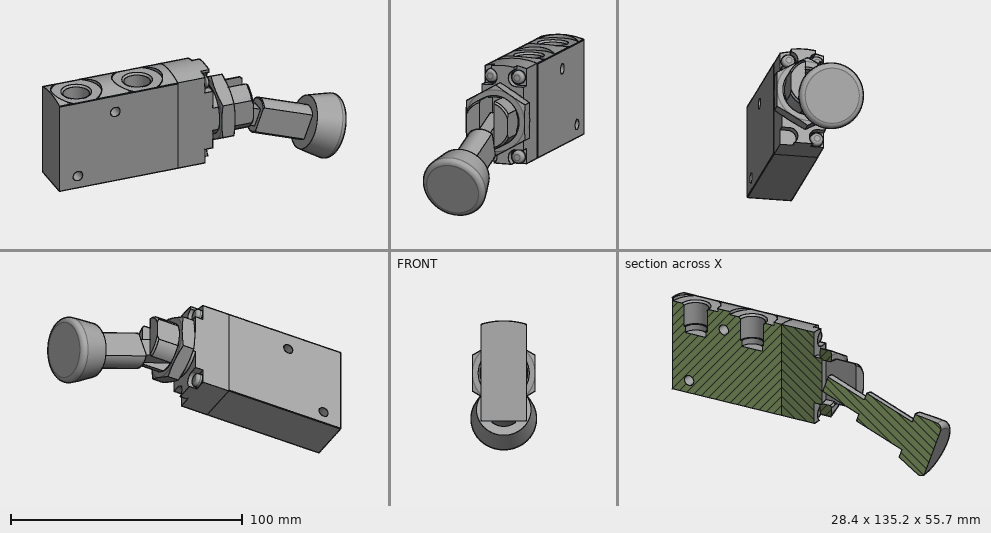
import cadquery as cq
import math

block_width = 19.7
block_length = 55.2
side_height = 41.8
crown_height = 43.3
block_edge_chamfer = 0.3

port_positions = (11.8, 40.2)
spotface_diameter = 22.0
port_mouth_diameter = 13.3
port_bore_diameter = 11.5
port_bore_depth = 10.8
port_floor_diameter = 10.0
port_floor_depth = 13.5

mounting_hole_diameter = 4.5
mounting_holes = ((8.5, 6.0), (26.0, 33.8))

cap_width = 19.2
cap_end = 71.5
neck_axis_height = 20.7
neck_diameter = 22.0
neck_end = 90.5
neck_chamfer = 0.8
slot_width = 6.6
slot_floor = 75.3

nut_start = 74.1
nut_end = 80.3
nut_across_flats = 27
nut_bore_diameter = 20.4
nut_edge_chamfer = 0.5

pocket_depth = 3.7
pocket_floor = cap_end - pocket_depth
pocket_radius = 3.7
screw_inset = 3.4
low_screw_z = 3.0
high_screw_z = 38.0
pocket_relief_width = 4.3
screw_head_diameter = 6.0
screw_head_height = 2.6
screw_head_rounding = 1.6

lever_tilt = 20
pivot_y = 74.8
tongue_start = 2.3
tongue_thickness = 6.0
tongue_height = 8.1
grip_start = 21.6
grip_chamfer = 0.4
grip_diameter = 15.4
grip_flat_width = 10.1
knob_start = 46
knob_rim = 57.2
knob_end = 59.9
knob_base_radius = 11.8
knob_middle_radius = 13.1
knob_rim_radius = 14.2
knob_face_radius = 11.9


def crowned_prism(width, start, end):
    """A bar along Y with flat sides and the shared arched top."""
    crown_rise = crown_height - side_height
    crown_radius = (block_width**2 / 4 + crown_rise**2) / (2 * crown_rise)
    crown_center = crown_height - crown_radius
    edge_height = crown_center + math.sqrt(crown_radius**2 - width**2 / 4)
    return (
        cq.Workplane("XZ", origin=(0, start, 0))
        .moveTo(-width / 2, 0)
        .lineTo(width / 2, 0)
        .lineTo(width / 2, edge_height)
        .threePointArc((0, crown_height), (-width / 2, edge_height))
        .close()
        .extrude(start - end)
    )


def cylinder_y(diameter, start, end, x=0, z=neck_axis_height):
    """A cylinder along Y."""
    return cq.Workplane("XZ", origin=(x, start, z)).circle(diameter / 2).extrude(start - end)


def make_port(y):
    """Cutter for one port: spotface, countersunk bore and smaller floor."""
    mouth = cq.Workplane("XY", origin=(0, y, side_height))
    spotface = mouth.circle(spotface_diameter / 2).extrude(crown_height - side_height)
    bore = mouth.circle(port_bore_diameter / 2).extrude(-port_bore_depth)
    floor = mouth.circle(port_floor_diameter / 2).extrude(-port_floor_depth)
    countersink = mouth.circle(port_mouth_diameter / 2).extrude(
        -(port_mouth_diameter - port_bore_diameter) / 2, taper=45
    )
    return spotface.union(bore).union(floor).union(countersink)


def make_block():
    """The valve block with two ports on top and two holes across it."""
    block = crowned_prism(block_width, 0, block_length)
    block = block.edges("|Y").chamfer(block_edge_chamfer)
    for y in port_positions:
        block = block.cut(make_port(y))
    holes = (
        cq.Workplane("YZ")
        .pushPoints(mounting_holes)
        .circle(mounting_hole_diameter / 2)
        .extrude(block_width, both=True)
    )
    return block.cut(holes)


def make_pocket(side, z, outward):
    """Cutter for one screw pocket, open to a side and to the top or underside."""
    x = side * (cap_width / 2 - screw_inset)
    pocket = cylinder_y(2 * pocket_radius, pocket_floor, cap_end, x, z)
    passage = (
        cq.Workplane("XY", origin=(x, pocket_floor, z))
        .box(2 * screw_inset, pocket_depth, 2 * pocket_radius, centered=(True, False, True))
        .translate((side * screw_inset, 0, 0))
    )
    relief_center = (side * cap_width / 2, pocket_floor, z + outward * pocket_radius)
    relief = cq.Workplane("XY", origin=relief_center).box(
        2 * pocket_relief_width, pocket_depth, 2 * pocket_radius, centered=(True, False, True)
    )
    return pocket.union(passage).union(relief)


def make_cap():
    """The end cap with four corner pockets and a flatted, slotted neck."""
    cap = crowned_prism(cap_width, block_length, cap_end)
    for side in (-1, 1):
        cap = cap.cut(make_pocket(side, low_screw_z, -1))
        cap = cap.cut(make_pocket(side, high_screw_z, 1))
    neck = cylinder_y(neck_diameter, cap_end, neck_end).faces(">Y").chamfer(neck_chamfer)
    flats = cq.Workplane("XY").box(cap_width, 2 * neck_end, 2 * crown_height)
    slot_length = neck_end - slot_floor
    slot = cq.Workplane("XY").box(slot_width, slot_length, neck_diameter).translate(
        (0, slot_floor + slot_length / 2, neck_axis_height)
    )
    return cap.union(neck.intersect(flats).cut(slot))


def make_nut(cap):
    """A hexagon nut with chamfered corners and a countersunk bore fitted to the neck."""
    corner_diameter = nut_across_flats / math.cos(math.pi / 6)
    length = nut_end - nut_start
    hexagon = (
        cq.Workplane("XZ", origin=(0, nut_start, neck_axis_height))
        .transformed(rotate=(0, 0, 30))
        .polygon(6, corner_diameter)
        .extrude(-length)
    )
    envelope = cylinder_y(corner_diameter, nut_start, nut_end).faces("<Y or >Y").chamfer(
        nut_edge_chamfer, (corner_diameter - nut_across_flats) / 2
    )
    bore = cylinder_y(nut_bore_diameter, nut_start, nut_end)
    countersink_depth = (neck_diameter - nut_bore_diameter) / 2
    nut = hexagon.intersect(envelope).cut(bore)
    nut = nut.faces("<Y or >Y").edges("%CIRCLE").edges(
        cq.selectors.RadiusNthSelector(0)
    ).chamfer(countersink_depth)
    return nut.cut(cap)


def make_lever():
    """The tilted lever: flat tongue, flatted round grip and barrel-sided knob."""
    sine = math.sin(math.radians(lever_tilt))
    cosine = math.cos(math.radians(lever_tilt))
    pivot = (0, pivot_y, neck_axis_height)
    across = cq.Workplane(cq.Plane(pivot, (1, 0, 0), (0, cosine, -sine)))
    along = cq.Workplane(cq.Plane(pivot, (0, sine, cosine), (-1, 0, 0)))

    tongue = (
        across.workplane(offset=tongue_start)
        .rect(tongue_thickness, tongue_height)
        .extrude(grip_start - tongue_start)
    )
    grip_length = knob_start - grip_start
    grip = across.workplane(offset=grip_start).circle(grip_diameter / 2).extrude(grip_length)
    grip = grip.faces("<Y").edges().chamfer(grip_chamfer)
    flats = (
        across.workplane(offset=grip_start)
        .rect(grip_flat_width, grip_diameter)
        .extrude(grip_length)
    )
    rounding_middle = (
        knob_face_radius + (knob_rim_radius - knob_face_radius) * math.sqrt(0.5),
        knob_rim + (knob_end - knob_rim) * math.sqrt(0.5),
    )
    knob_middle = (knob_start + knob_rim) / 2
    knob = (
        along.moveTo(0, knob_start)
        .lineTo(knob_base_radius, knob_start)
        .threePointArc((knob_middle_radius, knob_middle), (knob_rim_radius, knob_rim))
        .threePointArc(rounding_middle, (knob_face_radius, knob_end))
        .lineTo(0, knob_end)
        .close()
        .revolve(360, (0, 0), (0, 1))
    )
    return tongue.union(grip.intersect(flats)).union(knob)


def make_screw(side, z):
    """A round-headed screw seated on the floor of its pocket."""
    x = side * (cap_width / 2 - screw_inset)
    head = cylinder_y(screw_head_diameter, pocket_floor, pocket_floor + screw_head_height, x, z)
    return head.faces(">Y").edges().fillet(screw_head_rounding)


block = make_block()
cap = make_cap()
nut = make_nut(cap)
lever = make_lever()
screws = [
    make_screw(side, z)
    for side, z in ((-1, low_screw_z), (-1, high_screw_z), (1, high_screw_z))
]

result = cq.Compound.makeCompound(
    [block.val(), cap.val(), nut.val(), lever.val(), *[screw.val() for screw in screws]]
)